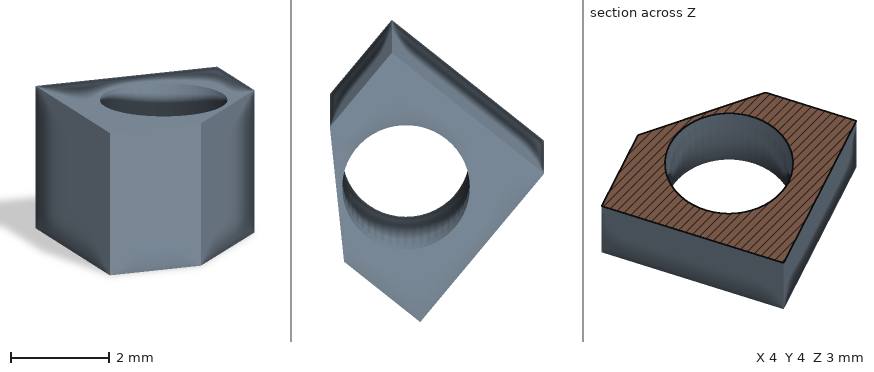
import cadquery as cq

side = 4.0
height = 3.0
corner_cut = side / 2
hole_diameter = 2.6

block = cq.Workplane("XY").box(side, side, height, centered=(True, True, False))

block = block.edges("|Z and >X and >Y").chamfer(corner_cut)

result = block.faces(">Z").workplane(origin=(0, 0, height)).hole(hole_diameter)